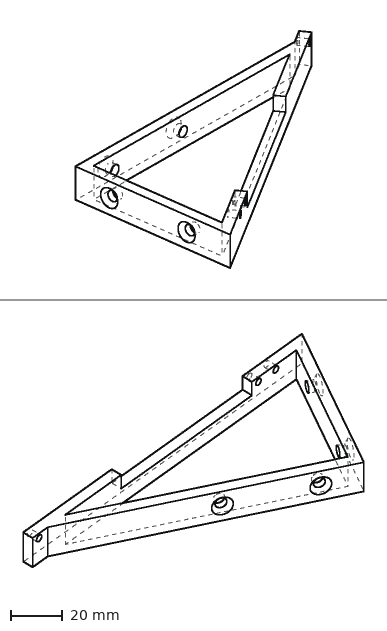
import cadquery as cq
import math

base_length = 80.0
height = 15.0
wall = 5.0
bar_angle = math.radians(60)
bar_length = base_length / math.cos(bar_angle)
tall_length = base_length * math.tan(bar_angle)

recess_start = 34.15
recess_length = 75.0
recess_depth = 7.0

screw_diameter = 4.8
countersink_diameter = 8.8
countersink_angle = 90.0
screw_positions = (17.5, 57.5)
screw_height = height / 2

pin_diameter = 3.0
pin_height = 12.5
pin_edge_distance = 3.75
pin_spacing = 10.0
first_pin = recess_start - pin_edge_distance
pin_positions = (first_pin - pin_spacing, first_pin, bar_length - pin_edge_distance)

bar_direction = cq.Vector(-math.cos(bar_angle), math.sin(bar_angle), 0)
bar_plane = cq.Plane(origin=(base_length, 0, 0), xDir=bar_direction, normal=(0, 0, 1))


def make_frame():
    """Triangle with a triangular window, plus the projecting end of the bar."""
    outline = cq.Workplane("XY").polyline([(0, 0), (base_length, 0), (0, tall_length)])
    triangle = outline.close().extrude(height)

    inner_base_right = base_length - wall / math.tan(bar_angle) - wall / math.sin(bar_angle)
    inner_top = tall_length - wall * math.tan(bar_angle) - wall / math.cos(bar_angle)
    window = (
        cq.Workplane("XY")
        .polyline([(wall, wall), (inner_base_right, wall), (wall, inner_top)])
        .close()
        .extrude(height)
    )

    mitre = wall / math.tan(bar_angle)
    bar = (
        cq.Workplane(bar_plane)
        .polyline([(0, 0), (bar_length, 0), (bar_length, wall), (mitre, wall)])
        .close()
        .extrude(height)
    )
    return triangle.cut(window).union(bar)


def make_recess():
    """Cutter that lowers the middle of the bar."""
    return (
        cq.Workplane(bar_plane)
        .rect(recess_length, wall, centered=False)
        .extrude(recess_depth)
        .translate(bar_direction * recess_start + cq.Vector(0, 0, height - recess_depth))
    )


def make_screw_cutter(x, y, direction):
    """Countersunk hole entering an outer leg face."""
    plane = cq.Plane(origin=(x, y, screw_height), xDir=(0, 0, 1), normal=direction)
    sink_width = (countersink_diameter - screw_diameter) / 2
    sink_depth = sink_width / math.tan(math.radians(countersink_angle / 2))
    hole = cq.Workplane(plane).circle(screw_diameter / 2).extrude(wall)
    sink = (
        cq.Workplane(plane)
        .circle(countersink_diameter / 2)
        .workplane(offset=sink_depth)
        .circle(screw_diameter / 2)
        .loft()
    )
    return hole.union(sink)


def make_pin_cutter(position):
    """Round hole square through the bar."""
    centre = bar_plane.toWorldCoords((position, 0, pin_height))
    plane = cq.Plane(origin=centre.toTuple(), xDir=(0, 0, 1), normal=bar_plane.yDir.toTuple())
    return cq.Workplane(plane).circle(pin_diameter / 2).extrude(wall)


result = make_frame().cut(make_recess())
for position in screw_positions:
    result = result.cut(make_screw_cutter(position, 0, (0, 1, 0)))
    result = result.cut(make_screw_cutter(0, position, (1, 0, 0)))
for position in pin_positions:
    result = result.cut(make_pin_cutter(position))